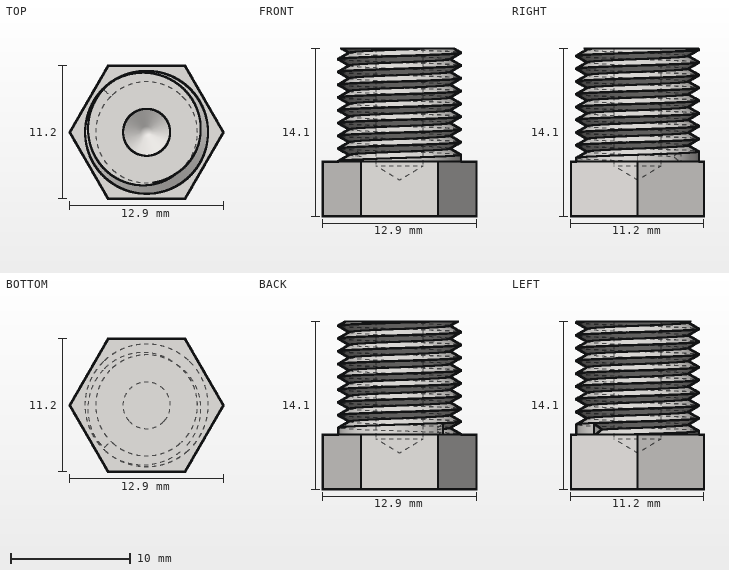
import cadquery as cq
import math

total_height = 14.1
head_height = 4.58
head_across_flats = 11.18
head_across_corners = head_across_flats / math.cos(math.radians(30))

thread_diameter = 10.32
thread_radius = thread_diameter / 2
thread_pitch = 1.07
crest_width = 0.03
cutter_overhang = 0.28
flank_angle = 30.0
groove_start_angle = 135.0
groove_start_height = 5.02

hole_diameter = 3.95
hole_depth = 9.87
drill_point_angle = 118.0


def make_head():
    """Hexagonal head with two corners on the X axis."""
    return cq.Workplane("XY").polygon(6, head_across_corners).extrude(head_height)


def make_shank():
    """Plain cylinder that also passes through the head."""
    return cq.Workplane("XY").circle(thread_radius).extrude(total_height)


def make_helix_edge(radius, base_height, helix_height):
    """Right-hand helical edge that starts on +X."""
    base_centre = cq.Vector(0, 0, base_height)
    return cq.Wire.makeHelix(thread_pitch, helix_height, radius, base_centre).Edges()[0]


def make_thread_groove():
    """Right-hand V groove that winds up the shank and runs out through its end."""
    flank_slope = math.tan(math.radians(flank_angle))
    groove_half_width = (thread_pitch - crest_width) / 2
    root_radius = thread_radius - groove_half_width / flank_slope
    cutter_half_width = groove_half_width + crest_width / 4
    flank_end_radius = root_radius + cutter_half_width / flank_slope
    cutter_radius = thread_radius + cutter_overhang

    corners = [
        (root_radius, 0),
        (flank_end_radius, cutter_half_width),
        (cutter_radius, cutter_half_width),
        (cutter_radius, -cutter_half_width),
        (flank_end_radius, -cutter_half_width),
    ]
    helix_height = total_height - groove_start_height + thread_pitch
    helices = [
        make_helix_edge(radius, height, helix_height)
        for radius, height in corners
    ]
    sides = [
        cq.Face.makeRuledSurface(helices[i - 1], helices[i])
        for i in range(len(helices))
    ]
    ends = [
        cq.Face.makeFromWires(
            cq.Wire.makePolygon([helix.positionAt(end) for helix in helices], close=True)
        )
        for end in (0, 1)
    ]
    groove = cq.Solid.makeSolid(cq.Shell.makeShell(sides + ends))
    groove = groove.rotate((0, 0, 0), (0, 0, 1), groove_start_angle)
    return groove.translate((0, 0, groove_start_height))


def make_hole():
    """Drilled blind hole with a conical bottom."""
    hole_radius = hole_diameter / 2
    shoulder_height = total_height - hole_depth
    point_depth = hole_radius / math.tan(math.radians(drill_point_angle / 2))
    return (
        cq.Workplane("XZ")
        .moveTo(0, shoulder_height - point_depth)
        .lineTo(hole_radius, shoulder_height)
        .lineTo(hole_radius, total_height)
        .lineTo(0, total_height)
        .close()
        .revolve(360, (0, 0, 0), (0, 1, 0))
    )


threaded_shank = make_shank().cut(make_thread_groove())
result = threaded_shank.union(make_head()).cut(make_hole())